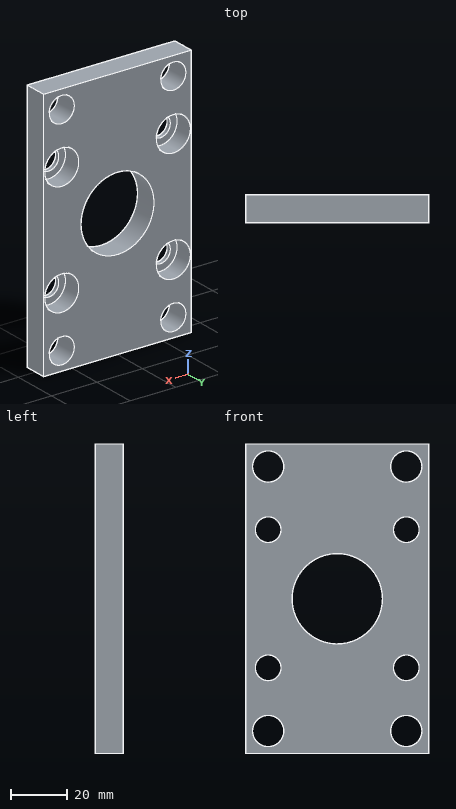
import cadquery as cq

width = 65.0
thickness = 10.0
height = 110.0

bore_diameter = 32.0
hole_spacing_x = 49.1
corner_hole_diameter = 11.0
corner_spacing_z = 93.9
screw_hole_diameter = 9.0
screw_spacing_z = hole_spacing_x

counterbore_diameter = 15.0
counterbore_floor = 2.0
counterbore_depth = thickness - counterbore_floor


def hole_pattern(body, spacing_z):
    """Select the corners of a centred rectangle on the +Y face."""
    return (
        body.faces(">Y")
        .workplane(origin=(0, 0, 0))
        .rect(hole_spacing_x, spacing_z, forConstruction=True)
        .vertices()
    )


plate = cq.Workplane("XY").box(width, thickness, height)
plate = plate.faces(">Y").workplane(origin=(0, 0, 0)).hole(bore_diameter)
plate = hole_pattern(plate, corner_spacing_z).hole(corner_hole_diameter)
result = hole_pattern(plate, screw_spacing_z).cboreHole(
    screw_hole_diameter, counterbore_diameter, counterbore_depth
)